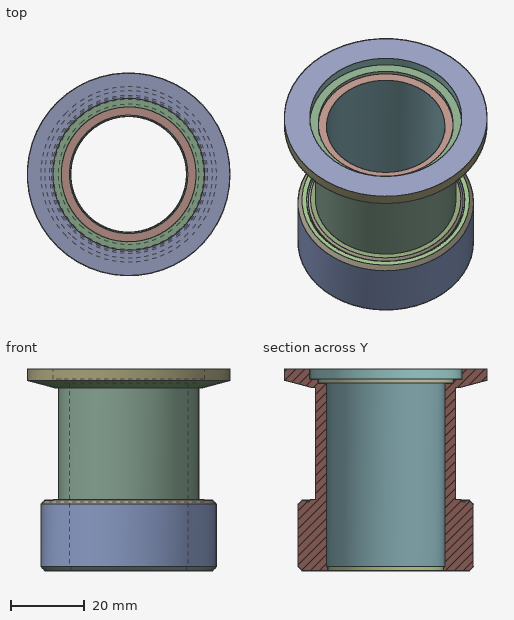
import cadquery as cq

height = 54.7

flange_diameter = 55
flange_rim = 3.15
flange_taper = 2.0
taper_small_diameter = 40.15
tube_diameter = 38.1

mouth_diameter = 41.2
mouth_depth = 2.75
seat_diameter = 36.55
seat_depth = 1.1

bore_diameter = 32.1
lip_diameter = 31.35
lip_height = 1.1

collar_diameter = 47.6
collar_height = 19.15
collar_chamfer = 1.1

ring_diameter = 40.75
ring_rise = 0.2
ring_foot_diameter = 42.0
groove_diameter = 42.9
groove_depth = 0.45


def disc(diameter, bottom, top):
    """Cylinder on the Z axis between two heights."""
    return cq.Workplane("XY").workplane(offset=bottom).circle(diameter / 2).extrude(top - bottom)


def flange():
    """Disc rim with a conical underside, as a revolved half section."""
    rim_bottom = height - flange_rim
    return (
        cq.Workplane("XZ")
        .moveTo(0, rim_bottom - flange_taper)
        .lineTo(taper_small_diameter / 2, rim_bottom - flange_taper)
        .lineTo(flange_diameter / 2, rim_bottom)
        .lineTo(flange_diameter / 2, height)
        .lineTo(0, height)
        .close()
        .revolve(360, (0, 0, 0), (0, 1, 0))
    )


def collar():
    """Chamfered collar with a shallow groove around a raised conical inner ring."""
    body = disc(collar_diameter, 0, collar_height).edges().chamfer(collar_chamfer)
    groove_bottom = collar_height - groove_depth
    body = body.cut(disc(groove_diameter, groove_bottom, collar_height))
    ring = (
        cq.Workplane("XY")
        .workplane(offset=groove_bottom)
        .circle(ring_foot_diameter / 2)
        .workplane(offset=groove_depth + ring_rise)
        .circle(ring_diameter / 2)
        .loft()
    )
    return body.union(ring)


def passage():
    """Stepped hole through the whole part."""
    mouth_floor = height - mouth_depth
    seat_floor = mouth_floor - seat_depth
    return (
        disc(lip_diameter, 0, height)
        .union(disc(bore_diameter, lip_height, height))
        .union(disc(seat_diameter, seat_floor, height))
        .union(disc(mouth_diameter, mouth_floor, height))
    )


tube = disc(tube_diameter, 0, height)
result = tube.union(collar()).union(flange()).cut(passage())